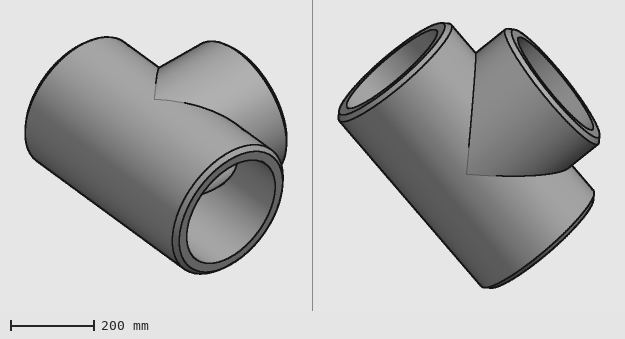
import cadquery as cq

run_length = 559.0
outer_diameter = 355.5
bore_diameter = 284.0
end_chamfer = 12.0

branch_length = run_length / 2


def run_cylinder(diameter):
    """Full-length cylinder along X, centred on the origin."""
    return cq.Workplane("YZ").circle(diameter / 2).extrude(run_length / 2, both=True)


def branch_cylinder(diameter):
    """Cylinder from the run axis out to the branch end, along +Y."""
    return cq.Workplane("XZ").circle(diameter / 2).extrude(-branch_length)


run = run_cylinder(outer_diameter).edges("%CIRCLE").chamfer(end_chamfer)
branch = branch_cylinder(outer_diameter).faces(">Y").edges().chamfer(end_chamfer)

bores = run_cylinder(bore_diameter).union(branch_cylinder(bore_diameter))

result = run.union(branch).cut(bores)